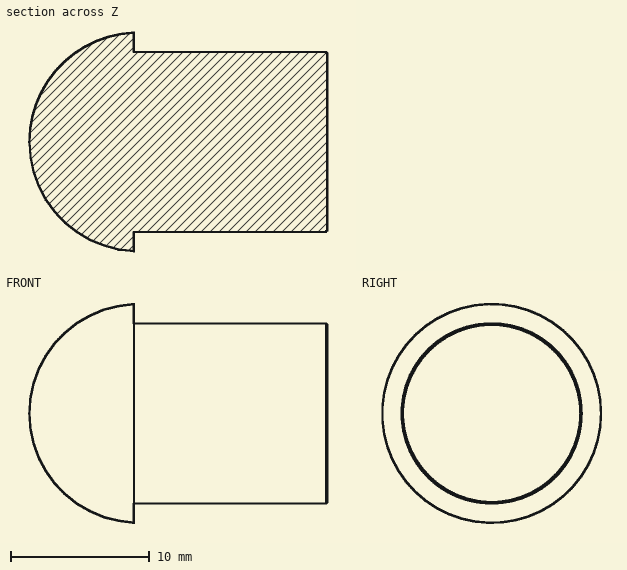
import cadquery as cq
import math

total_length = 21.5
head_diameter = 15.8
head_length = 7.55
shank_diameter = 13.0
end_chamfer = 0.1

head_radius = head_diameter / 2
shank_radius = shank_diameter / 2
tip_x = -total_length / 2
end_x = total_length / 2
shoulder_x = tip_x + head_length

dome_radius = (head_radius**2 + head_length**2) / (2 * head_length)
half_angle = math.atan2(head_radius, dome_radius - head_length) / 2
dome_midpoint = (
    tip_x + dome_radius * (1 - math.cos(half_angle)),
    dome_radius * math.sin(half_angle),
)

profile = (
    cq.Workplane("XY")
    .moveTo(tip_x, 0)
    .threePointArc(dome_midpoint, (shoulder_x, head_radius))
    .lineTo(shoulder_x, shank_radius)
    .lineTo(end_x, shank_radius)
    .lineTo(end_x, 0)
    .close()
)
body = profile.revolve(360, (0, 0, 0), (1, 0, 0))

result = body.faces(">X").edges().chamfer(end_chamfer)